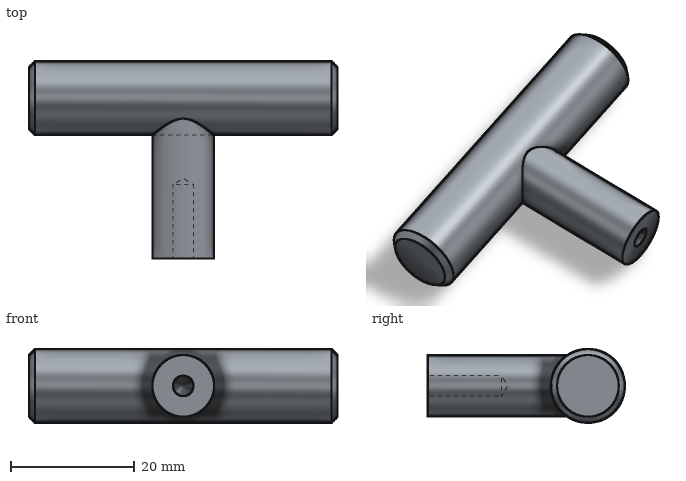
import cadquery as cq
import math

bar_length = 50.0
bar_diameter = 12.0
bar_chamfer = 1.0

post_diameter = 10.0
post_reach = 26.0

hole_diameter = 3.3
hole_depth = 12.0
drill_tip_angle = 118.0


def make_bar_blank():
    """Plain cylinder along X, centred on the origin."""
    left_end = cq.Workplane("YZ", origin=(-bar_length / 2, 0, 0))
    return left_end.circle(bar_diameter / 2).extrude(bar_length)


def make_bar():
    """Grip bar with both end edges chamfered."""
    return make_bar_blank().faces("<X or >X").chamfer(bar_chamfer)


def make_drilled_hole():
    """Blind hole with a conical drill tip, starting at the free end of the post."""
    radius = hole_diameter / 2
    tip_length = radius / math.tan(math.radians(drill_tip_angle / 2))
    hole_bottom = -post_reach + hole_depth
    return (
        cq.Workplane("XY")
        .moveTo(0, -post_reach)
        .lineTo(radius, -post_reach)
        .lineTo(radius, hole_bottom)
        .lineTo(0, hole_bottom + tip_length)
        .close()
        .revolve(360, (0, 0, 0), (0, 1, 0))
    )


def make_post():
    """Post whose inner end is a saddle resting on the bar surface."""
    rod = cq.Workplane("XZ").circle(post_diameter / 2).extrude(post_reach)
    return rod.cut(make_bar_blank()).cut(make_drilled_hole())


bar = make_bar()
post = make_post()

result = cq.Compound.makeCompound([*bar.solids().vals(), *post.solids().vals()])